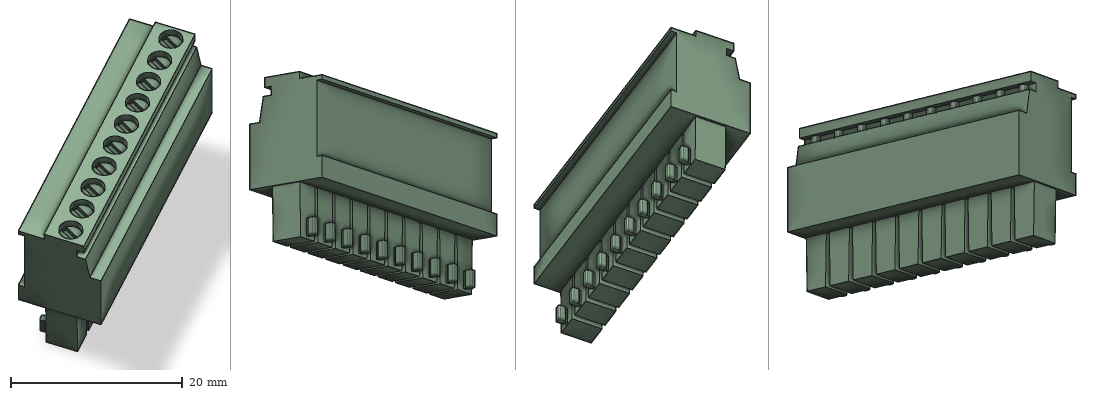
import cadquery as cq


pole_count = 10
pole_pitch = 3.5
body_length = 35.03

body_width = 10.4
neck_x = 0.75
crest_start_x = 3.25
crest_end_x = 8.25
groove_x = 7.3
slope_top_x = 8.45
slope_bottom_x = 9.0

total_height = 19.8
body_bottom_z = 6.6
lower_lip_top_z = 9.25
ledge_z = 14.5
upper_lip_bottom_z = 18.4
shoulder_z = 18.95
groove_bottom_z = 17.55
groove_top_z = 18.6

post_diameter = 1.2

screw_x = 5.9
screw_diameter = 2.8
screw_depth = 1.0
slot_width = 0.75
slot_depth = 0.5
slot_angle = -30

leg_start_x = 3.35
leg_end_x = groove_x
leg_top_width = 3.05
leg_tip_width = 2.8

rib_tip_x = 2.1
rib_width = 0.85
rib_corner_radius = 0.2
rib_neck_width = 0.4
rib_head_end_x = 3.1
rib_bottom_z = 0.35
rib_top_z = 2.45
rib_bottom_radius = 0.2


def make_housing():
    """Housing cross-section extruded along the whole row."""
    outline = [
        (0, body_bottom_z),
        (body_width, body_bottom_z),
        (body_width, ledge_z),
        (slope_bottom_x, ledge_z),
        (slope_top_x, groove_bottom_z),
        (groove_x, groove_bottom_z),
        (groove_x, groove_top_z),
        (crest_end_x, groove_top_z),
        (crest_end_x, total_height),
        (crest_start_x, total_height),
        (crest_start_x, shoulder_z),
        (0, shoulder_z),
        (0, upper_lip_bottom_z),
        (neck_x, upper_lip_bottom_z),
        (neck_x, lower_lip_top_z),
        (0, lower_lip_top_z),
    ]
    return cq.Workplane("XZ").polyline(outline).close().extrude(body_length / 2, both=True)


def make_post(y):
    """Round post bridging the groove, centred on the groove wall."""
    return (
        cq.Workplane("XY", origin=(groove_x, y, groove_bottom_z))
        .circle(post_diameter / 2)
        .extrude(groove_top_z - groove_bottom_z)
    )


def make_screw_recess(y):
    """Round opening down to the screw head, with the driver slot below it."""
    head_z = total_height - screw_depth
    opening = (
        cq.Workplane("XY", origin=(screw_x, y, head_z))
        .circle(screw_diameter / 2)
        .extrude(screw_depth)
    )
    slot_bottom = cq.Workplane("XY", origin=(screw_x, y, head_z - slot_depth))
    slot = (
        slot_bottom.transformed(rotate=(0, 0, slot_angle))
        .rect(screw_diameter, slot_width)
        .extrude(slot_depth)
        .intersect(slot_bottom.circle(screw_diameter / 2).extrude(slot_depth))
    )
    return opening.union(slot)


def make_leg(y):
    """Leg that narrows along Y towards its tip."""
    outline = [
        (y - leg_tip_width / 2, 0),
        (y + leg_tip_width / 2, 0),
        (y + leg_top_width / 2, body_bottom_z),
        (y - leg_top_width / 2, body_bottom_z),
    ]
    return (
        cq.Workplane("YZ", origin=(leg_start_x, 0, 0))
        .polyline(outline)
        .close()
        .extrude(leg_end_x - leg_start_x)
    )


def make_coding_rib(y):
    """Upright rib: a head with rounded corners and lower rim, held to the leg by a narrower neck."""
    height = rib_top_z - rib_bottom_z
    head_length = rib_head_end_x - rib_tip_x
    base = cq.Workplane("XY", origin=(0, y, rib_bottom_z))
    head = (
        base.center(rib_tip_x + head_length / 2, 0)
        .rect(head_length, rib_width)
        .extrude(height)
        .edges("|Z")
        .fillet(rib_corner_radius)
        .faces("<Z")
        .edges()
        .fillet(rib_bottom_radius)
    )
    neck_length = leg_start_x - rib_tip_x - head_length / 2
    neck = (
        base.center(leg_start_x - neck_length / 2, 0)
        .rect(neck_length, rib_neck_width)
        .extrude(height)
    )
    return head.union(neck)


result = make_housing()
for pole in range(pole_count):
    pole_y = (pole - (pole_count - 1) / 2) * pole_pitch
    result = result.union(make_post(pole_y))
    result = result.union(make_leg(pole_y))
    result = result.union(make_coding_rib(pole_y))
    result = result.cut(make_screw_recess(pole_y))